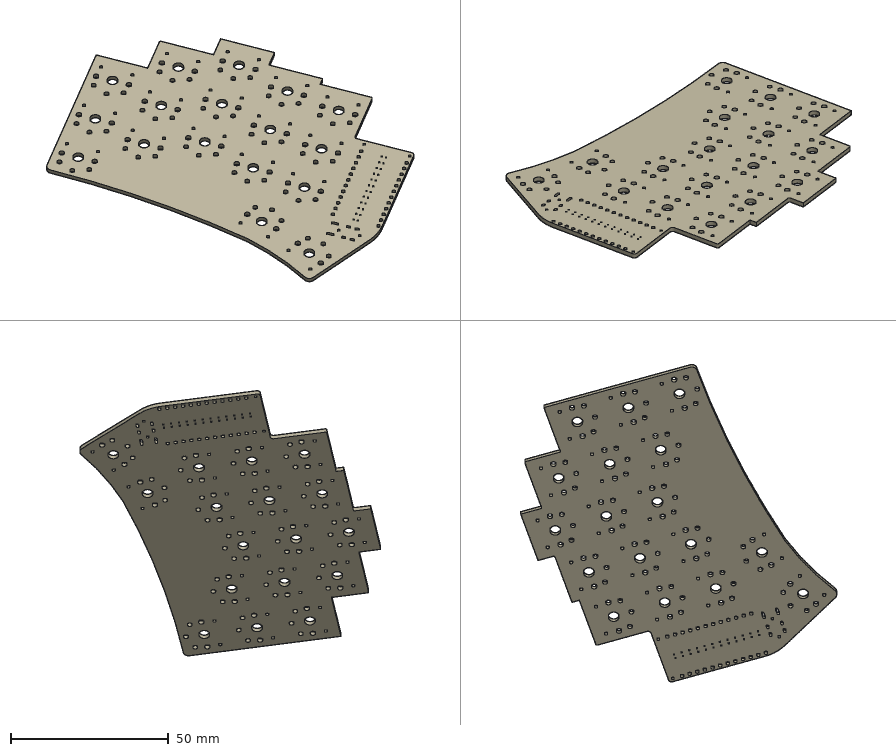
import cadquery as cq
import math

width = 108.92
depth = 86.52
thickness = 1.58

key_pitch_x = 18.0
key_pitch_y = 17.0
keys_per_column = 3
first_column_x = 8.34
first_row_y = 59.0
column_shifts = [0.0, 12.0, 18.9, 13.5, 11.0]

thumb_keys = [(72.11, 18.0, 165.0), (90.67, 10.24, 150.0)]

switch_post_diameter = 3.43
side_post_diameter = 1.7
side_post_x = 5.5
pin_diameter = 1.5
centre_pin_y = -5.9
outer_pin_x = 5.0
outer_pin_y = -3.8
clip_hole_diameter = 0.99
clip_hole_x = 5.22
clip_hole_y = 4.2

header_pin_count = 12
header_pitch = 2.54
header_left_x = 92.55
header_row_spacing = 15.24
header_first_y = 28.1
header_pin_diameter = 1.1
header_end_gap = 3.05
header_end_diameter = 0.81
via_diameter = 0.4
via_spacing = 1.4
via_centre_x = header_left_x + header_row_spacing / 2

jack_y = 22.3
jack_row_spacing = 4.7
jack_slot_width = 0.8
jack_slots = [(94.38, 2.4), (98.87, 1.3), (101.8, 1.4)]
jack_peg_diameter = 0.81
jack_peg_left_x = 96.42
jack_peg_spacing = 7.0

column_tops = [67.5, 79.5, depth, 81.0, 78.55]
first_step_x = 17.24
step_x = [first_step_x + key_pitch_x * i for i in range(len(column_tops) - 1)]
finger_right = 88.75
controller_top = 60.6
lower_left_y = 17.05
lower_left_radius = 1.7
sweep_middle = (39.2, 14.88)
sweep_end = (70.2, 9.7)
thumb_middle = (80.5, 6.22)
tip = (94.15, -0.735)
tip_radius = 1.9
thumb_edge_angle = math.radians(60)
right_bend_radius = 14.0
small_radius = 0.5
controller_radius = 1.0


def plate():
    """Flat board with a stepped top edge, swept along the bottom and cut off at an angle beside the thumb."""
    bend_y = tip[1] + (width - tip[0]) * math.tan(thumb_edge_angle)
    outline = cq.Workplane("XY").moveTo(0, lower_left_y).lineTo(0, column_tops[0])
    for x, left_top, right_top in zip(step_x, column_tops, column_tops[1:]):
        outline = outline.lineTo(x, left_top).lineTo(x, right_top)
    outline = (
        outline.lineTo(finger_right, column_tops[-1])
        .lineTo(finger_right, controller_top)
        .lineTo(width, controller_top)
        .lineTo(width, bend_y)
        .lineTo(*tip)
        .threePointArc(thumb_middle, sweep_end)
        .threePointArc(sweep_middle, (0, lower_left_y))
        .close()
    )
    body = outline.extrude(thickness)
    rounded_corners = [
        ((0, lower_left_y), lower_left_radius),
        ((step_x[0], column_tops[1]), small_radius),
        ((step_x[2], column_tops[3]), small_radius),
        ((finger_right, column_tops[-1]), small_radius),
        ((finger_right, controller_top), controller_radius),
        ((width, controller_top), controller_radius),
        ((width, bend_y), right_bend_radius),
        (tip, tip_radius),
    ]
    for (x, y), radius in rounded_corners:
        corner = cq.selectors.NearestToPointSelector((x, y, thickness / 2))
        body = body.edges("|Z").edges(corner).fillet(radius)
    return body


def drill(body, points, diameter):
    """Through holes of one diameter."""
    cutters = cq.Workplane("XY").pushPoints(points).circle(diameter / 2).extrude(thickness)
    return body.cut(cutters)


def switch_places():
    """Centre and rotation of every switch."""
    places = list(thumb_keys)
    for column, shift in enumerate(column_shifts):
        x = first_column_x + column * key_pitch_x
        for row in range(keys_per_column):
            places.append((x, first_row_y + shift - row * key_pitch_y, 0.0))
    return places


def placed(points, place):
    """Points of one switch turned and moved to its place."""
    centre_x, centre_y, angle = place
    cos_a = math.cos(math.radians(angle))
    sin_a = math.sin(math.radians(angle))
    return [(centre_x + x * cos_a - y * sin_a, centre_y + x * sin_a + y * cos_a) for x, y in points]


def cut_switches(body):
    """Post, pin and clip holes of every switch, one cut per diameter."""
    patterns = [
        (switch_post_diameter, [(0, 0)]),
        (side_post_diameter, [(-side_post_x, 0), (side_post_x, 0)]),
        (pin_diameter, [(0, centre_pin_y), (-outer_pin_x, outer_pin_y), (outer_pin_x, outer_pin_y)]),
        (clip_hole_diameter, [(-clip_hole_x, clip_hole_y), (clip_hole_x, clip_hole_y)]),
    ]
    for diameter, pattern in patterns:
        points = [point for place in switch_places() for point in placed(pattern, place)]
        body = drill(body, points, diameter)
    return body


def cut_controller(body):
    """Two header rows, an extra hole past each row, and a pair of vias beside every header pin."""
    pin_ys = [header_first_y + i * header_pitch for i in range(header_pin_count)]
    row_xs = [header_left_x, header_left_x + header_row_spacing]
    via_xs = [via_centre_x - via_spacing / 2, via_centre_x + via_spacing / 2]
    end_y = pin_ys[-1] + header_end_gap
    body = drill(body, [(x, y) for x in row_xs for y in pin_ys], header_pin_diameter)
    body = drill(body, [(x, y) for x in via_xs for y in pin_ys], via_diameter)
    return drill(body, [(x, end_y) for x in row_xs], header_end_diameter)


def cut_jack(body):
    """Two rows of slots with a pair of peg holes on the line between them."""
    slot_ys = [jack_y - jack_row_spacing / 2, jack_y + jack_row_spacing / 2]
    for x, length in jack_slots:
        slots = cq.Workplane("XY").pushPoints([(x, y) for y in slot_ys])
        body = body.cut(slots.slot2D(length, jack_slot_width).extrude(thickness))
    peg_xs = [jack_peg_left_x, jack_peg_left_x + jack_peg_spacing]
    return drill(body, [(x, jack_y) for x in peg_xs], jack_peg_diameter)


result = cut_jack(cut_controller(cut_switches(plate())))